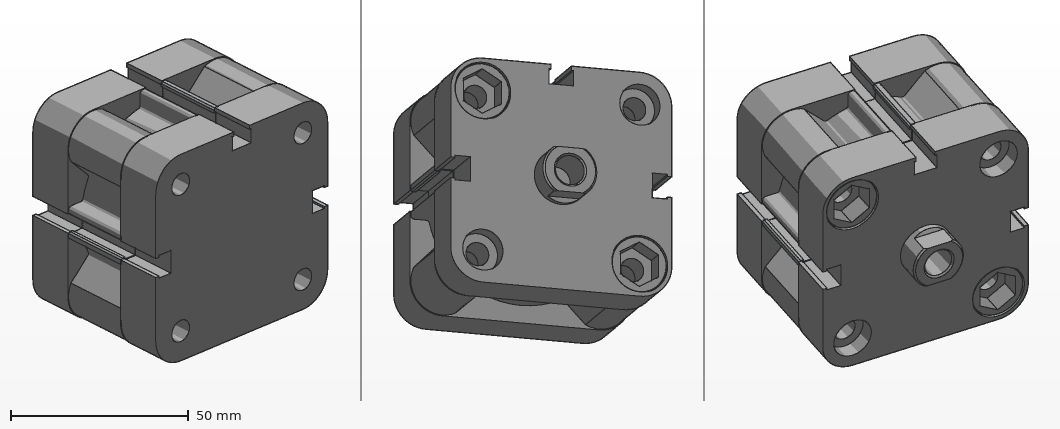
import cadquery as cq
import math


cap_size = 65.5
cap_half = cap_size / 2
cap_thickness = 14.7
corner_radius = 9.5
hole_offset = cap_half - corner_radius
bolt_hole_diameter = 6.75
counterbore_diameter = 11.9
counterbore_depth = 4.9
hex_across_flats = 11.25
hex_depth = 6.3
recess_depth = 0.5
ring_outer_diameter = 16.5
ring_inner_diameter = 16.0
ring_depth = 0.65
cap_slot_mouth = 6.0
cap_slot_width = 7.2
cap_slot_lip = 1.3
cap_slot_depth = 5.75
cap_slot_floor = cap_half - cap_slot_depth

barrel_length = 22.0
barrel_half = 32.5
tube_radius = 27.65
lug_radius = barrel_half - hole_offset
lug_half_width = 8.7
lug_fillet = 1.0
rib_half_width = 5.25
rib_edge_radius = 1.1
rib_root_radius = 0.85
barrel_slot_mouth = 5.45
barrel_slot_width = 6.6
barrel_slot_lip = 1.45
barrel_slot_depth = 5.2
barrel_slot_floor = barrel_half - barrel_slot_depth
barrel_slot_chamfer = 0.49

rod_radius = 8.0
rod_projection = 8.1
rod_tip_chamfer = 0.5
flat_spacing = 13.0
flat_length = 6.1
shoulder_run = 0.4
thread_hole_diameter = 8.5
thread_hole_chamfer = 0.5
thread_hole_depth = 13.1
drill_point_angle = 118.0

cutter_clearance = 0.65
rear_cap_x = cap_thickness + barrel_length

hex_corners = [(1, 1), (-1, -1)]
counterbore_corners = [(1, -1), (-1, 1)]
slot_angles = [0, 90, 270]
lug_angles = [45, 135, 225, 315]


def at(x):
    """Workplane across the cylinder axis: local x is Y, local y is Z, extruding toward +X."""
    return cq.Workplane("YZ", origin=(x, 0, 0))


def corner_points(corners):
    return [(side_y * hole_offset, side_z * hole_offset) for side_y, side_z in corners]


def around_axis(body, angle):
    return body.rotate((0, 0, 0), (1, 0, 0), angle)


def bolt_hole_cutter(x, length):
    return (
        at(x)
        .pushPoints(corner_points(hex_corners + counterbore_corners))
        .circle(bolt_hole_diameter / 2)
        .extrude(length)
    )


def slot_cutter(x, length, mouth, width, lip_bottom, floor):
    """T-shaped slot cutter for the top side, open beyond the outer surface."""
    open_top = cap_half + cutter_clearance
    neck = at(x).center(0, (floor + open_top) / 2).rect(mouth, open_top - floor).extrude(length)
    chamber = at(x).center(0, (floor + lip_bottom) / 2).rect(width, lip_bottom - floor).extrude(length)
    return neck.union(chamber)


def make_cap(x):
    """Rounded square plate with four bolt holes and a T-slot in every side but the bottom."""
    cap = at(x).rect(cap_size, cap_size).extrude(cap_thickness).edges("|X").fillet(corner_radius)
    cap = cap.cut(bolt_hole_cutter(x, cap_thickness))
    slot = slot_cutter(
        x, cap_thickness, cap_slot_mouth, cap_slot_width, cap_half - cap_slot_lip, cap_slot_floor
    )
    for angle in slot_angles:
        cap = cap.cut(around_axis(slot, angle))
    return cap


def make_front_cap():
    """Cap with hexagon sockets, counterbores and a bore for the rod."""
    hex_circle_diameter = hex_across_flats / math.cos(math.radians(30))
    cap = make_cap(0)
    for y, z in corner_points(hex_corners):
        recess = at(0).center(y, z).circle(ring_outer_diameter / 2).extrude(recess_depth)
        socket = (
            at(recess_depth)
            .center(y, z)
            .transformed(rotate=(0, 0, 90))
            .polygon(6, hex_circle_diameter)
            .extrude(hex_depth)
        )
        ring = (
            at(recess_depth)
            .center(y, z)
            .circle(ring_outer_diameter / 2)
            .circle(ring_inner_diameter / 2)
            .extrude(ring_depth)
        )
        cap = cap.cut(recess).cut(socket).cut(ring)
    counterbores = (
        at(0)
        .pushPoints(corner_points(counterbore_corners))
        .circle(counterbore_diameter / 2)
        .extrude(counterbore_depth)
    )
    rod_bore = at(0).circle(rod_radius).extrude(cap_thickness)
    return cap.cut(counterbores).cut(rod_bore)


def make_lug():
    """Corner lug pointing to the top, to be turned onto the diagonals."""
    centre = hole_offset * math.sqrt(2)
    arc_start = centre + math.sqrt(lug_radius**2 - lug_half_width**2)
    return (
        at(cap_thickness)
        .moveTo(-lug_half_width, 0)
        .lineTo(-lug_half_width, arc_start)
        .threePointArc((0, centre + lug_radius), (lug_half_width, arc_start))
        .lineTo(lug_half_width, 0)
        .close()
        .extrude(barrel_length)
    )


def make_rib():
    """Slot rib on the top side with rounded outer edges."""
    return (
        at(cap_thickness)
        .center(0, barrel_half / 2)
        .rect(2 * rib_half_width, barrel_half)
        .extrude(barrel_length)
        .edges("|X and >Z")
        .fillet(rib_edge_radius)
    )


def fillet_roots(barrel, half_width, wall_angles, radius):
    """Round the concave corners where pairs of parallel walls leave the tube.

    Each pair is centred on one of wall_angles, measured about X from the top side.
    """
    half_angle = math.asin(half_width / tube_radius)
    middle_x = cap_thickness + barrel_length / 2
    for wall_angle in wall_angles:
        for root_angle in (math.radians(wall_angle) - half_angle, math.radians(wall_angle) + half_angle):
            root_y = -tube_radius * math.sin(root_angle)
            root_z = tube_radius * math.cos(root_angle)
            root_edge = cq.NearestToPointSelector((middle_x, root_y, root_z))
            barrel = barrel.edges(root_edge).fillet(radius)
    return barrel


def make_barrel():
    """Solid tube section with four corner lugs, three slotted ribs and through bolt holes."""
    barrel = at(cap_thickness).circle(tube_radius).extrude(barrel_length)
    lug = make_lug()
    rib = make_rib()
    for angle in lug_angles:
        barrel = barrel.union(around_axis(lug, angle))
    for angle in slot_angles:
        barrel = barrel.union(around_axis(rib, angle))
    barrel = fillet_roots(barrel, lug_half_width, lug_angles, lug_fillet)
    barrel = fillet_roots(barrel, rib_half_width, slot_angles, rib_root_radius)

    slot = slot_cutter(
        cap_thickness,
        barrel_length,
        barrel_slot_mouth,
        barrel_slot_width,
        barrel_half - barrel_slot_lip,
        barrel_slot_floor,
    )
    mouth_half = barrel_slot_mouth / 2
    mouth_chamfer = (
        at(cap_thickness)
        .moveTo(-mouth_half - barrel_slot_chamfer, barrel_half)
        .lineTo(mouth_half + barrel_slot_chamfer, barrel_half)
        .lineTo(mouth_half, barrel_half - barrel_slot_chamfer)
        .lineTo(-mouth_half, barrel_half - barrel_slot_chamfer)
        .close()
        .extrude(barrel_length)
    )
    slot = slot.union(mouth_chamfer)
    for angle in slot_angles:
        barrel = barrel.cut(around_axis(slot, angle))

    return barrel.cut(bolt_hole_cutter(cap_thickness, barrel_length))


def make_rod():
    """Rod from its tip to the barrel, with two wrench flats and a blind thread hole."""
    tip_x = -rod_projection
    rod = at(tip_x).circle(rod_radius).extrude(rod_projection + cap_thickness)
    rod = rod.faces("<X").chamfer(rod_tip_chamfer)

    flat_half = flat_spacing / 2
    flat_end_x = tip_x + flat_length
    flat_cutter = (
        cq.Workplane("XZ")
        .moveTo(tip_x, flat_half)
        .lineTo(flat_end_x, flat_half)
        .lineTo(flat_end_x + shoulder_run, rod_radius)
        .lineTo(tip_x, rod_radius)
        .close()
        .extrude(rod_radius, both=True)
    )
    rod = rod.cut(flat_cutter).cut(around_axis(flat_cutter, 180))

    hole_radius = thread_hole_diameter / 2
    mouth_radius = hole_radius + thread_hole_chamfer
    point_length = hole_radius / math.tan(math.radians(drill_point_angle / 2))
    thread_hole = (
        cq.Workplane("XY")
        .moveTo(tip_x, 0)
        .lineTo(tip_x, mouth_radius)
        .lineTo(tip_x + thread_hole_chamfer, hole_radius)
        .lineTo(tip_x + thread_hole_depth, hole_radius)
        .lineTo(tip_x + thread_hole_depth + point_length, 0)
        .close()
        .revolve(360, (0, 0, 0), (1, 0, 0))
    )
    return rod.cut(thread_hole)


front_cap = make_front_cap()
barrel = make_barrel()
rear_cap = make_cap(rear_cap_x)
rod = make_rod()

result = cq.Compound.makeCompound([front_cap.val(), barrel.val(), rear_cap.val(), rod.val()])